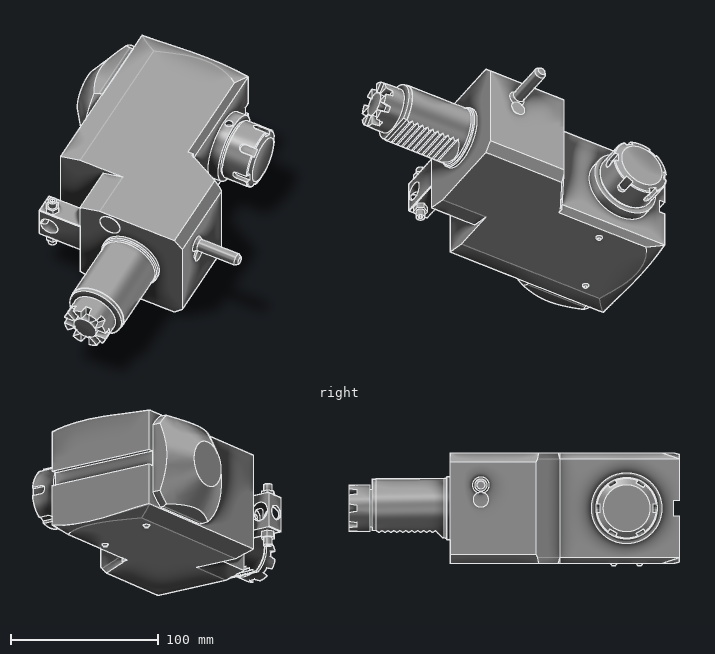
import cadquery as cq
import math


TOTAL_X = 166.5
TOTAL_Y = 224.0
TOTAL_Z = 76.5

BODY_HEIGHT = 75.0
HALF_HEIGHT = BODY_HEIGHT / 2
LEFT_X = -71.5
NOTCH_X = -39.0
NOTCH_Y = 34.3
LOWER_RIGHT_X = 39.0
UPPER_RIGHT_X = 9.5
SLOPE_START_Y = 58.2
SLOPE_END_Y = 74.4
REAR_Y = 155.5
SHALLOW_ANGLE = math.radians(15)
LEFT_BEVEL_WIDTH = 15.0
LEFT_BEVEL_DROP = LEFT_BEVEL_WIDTH * math.tan(SHALLOW_ANGLE)
LOWER_BEVEL = 6.0
UPPER_BEVEL_WIDTH = 4.3
SLOPE_BEVEL_WIDTH = 1.3
REAR_SLOT_HEIGHT = 10.3
REAR_SLOT_DEPTH = 4.0
CROWN_PEAK_X = -20.5
CROWN_PEAK_Z = 36.5
CROWN_EDGE_DROP = 3.1
CROWN_BEVEL_DROP = 2.2
CROWN_SHOULDER_DROP = 1.0
CROWN_LEFT_SHOULDER_X = -41.5
CROWN_RIGHT_SHOULDER_X = -3.8

SPINDLE_Y = 119.6
COVER_TIP_X = -94.5
COVER_RIM_X = -77.5
COVER_TIP_RADIUS = 15.7
COVER_RADIUS = 39.6
COVER_BACK_EDGE = 31.5
COVER_CORNER = 7.6
COVER_HALF_HEIGHT = 32.5
COVER_FLAT_LENGTH = 2.7

OUTPUT_FLANGE_RADIUS = 24.0
OUTPUT_FLANGE_LENGTH = 7.6
OUTPUT_NECK_RADIUS = 19.7
OUTPUT_NECK_LENGTH = 1.5
OUTPUT_NUT_RADIUS = 20.8
OUTPUT_NUT_LENGTH = LOWER_RIGHT_X - UPPER_RIGHT_X - OUTPUT_FLANGE_LENGTH - OUTPUT_NECK_LENGTH
OUTPUT_NUT_TIP_RADIUS = 16.0
OUTPUT_NUT_EDGE = 0.7
OUTPUT_NUT_TAPER = 1.5
OUTPUT_SLOT_COUNT = 6
OUTPUT_SLOT_WIDTH = 5.8
OUTPUT_SLOT_LENGTH = 12.3
OUTPUT_SLOT_DEPTH = 3.0
SPANNER_HOLE_RADIUS = 2.7
SPANNER_HOLE_DEPTH = 4.5

COLLAR_RADIUS = 21.5
COLLAR_LENGTH = 2.0
COLLAR_STEP_RADIUS = 20.5
COLLAR_STEP_END = 2.7
SHANK_RADIUS = 20.2
COLLAR_END = 4.0
SHANK_END = 50.2
SHANK_TIP_RADIUS = 19.7
SHANK_TIP_END = 52.9
SHANK_NECK_RADIUS = 12.8
NUT_START = 54.2
NUT_RADIUS = 16.0
NUT_END = TOTAL_Y - REAR_Y
NUT_CORE_RADIUS = 16.8 / 2
NUT_SLOT_COUNT = 8
NUT_SLOT_MOUTH = 5.8
NUT_SLOT_FLOOR = 4.0
NUT_SLOT_DEPTH = 5.4
RACK_VALLEY_Z = -15.2
RACK_TOOTH_HEIGHT = 1.3
RACK_PITCH = 4.0
RACK_TOOTH_COUNT = 10
RACK_START = 9.9
RACK_CUT_DEPTH = 6.7

BLOCK_LEFT_X = -70.8
BLOCK_FRONT_Y = 1.0
BLOCK_BACK_Y = 15.5
BLOCK_HALF_HEIGHT = 12.3
BLOCK_EDGE = 0.5
NOZZLE_X = -63.0
NOZZLE_RADIUS = 6.5
SIDE_HOLE_Y = 7.2
SIDE_HOLE_RADIUS = 5.0
SIDE_HOLE_DEPTH = 16.8
COOLANT_BORE_RADIUS = 1.5
SCREW_Y = 5.8
SCREW_RADIUS = 3.0
SCREW_TOP = 21.5
LOCKNUT_TOP = 16.4
LOCKNUT_DIAMETER = 9.6
SCREW_SEAT = 10.0
SOCKET_DIAMETER = 3.0
SOCKET_DEPTH = 2.2

PIN_Y = 20.8
PIN_Z = 15.7
PIN_RADIUS = 8.3 / 2
PIN_LENGTH = TOTAL_X + COVER_TIP_X - LOWER_RIGHT_X
PIN_TIP_LENGTH = 2.2
PIN_TIP_RADIUS = 2.7
PIN_COLLAR_RADIUS = 5.5
PIN_COLLAR_LENGTH = 2.5
RETAINER_Z = 5.8
RETAINER_RADIUS = 5.2
RETAINER_ROOT_RADIUS = 3.4
RETAINER_LENGTH = 1.8
PLUG_X = -16.1
PLUG_Z = 27.8
PLUG_RADIUS = 7.6
PLUG_HEIGHT = 0.2
STUD_POSITIONS = [(-49.7, 128.4), (-2.7, 110.9)]
STUD_RADIUS = 2.2
STUD_TIP_RADIUS = 1.1
STUD_HEIGHT = TOTAL_Z - BODY_HEIGHT

OVERLAP = 1.1
BEVEL_MARGIN = 4.5
FAR = 134.5


def revolve_x(profile, y, z):
    """Revolve (x, radius) points about the line parallel to X through (y, z)."""
    return (
        cq.Workplane("XY")
        .polyline(profile)
        .close()
        .revolve(360, (0, 0, 0), (1, 0, 0))
        .translate((0, y, z))
    )


def revolve_y(profile):
    """Revolve (radius, y) points about the Y axis."""
    return cq.Workplane("XY").polyline(profile).close().revolve(360, (0, 0, 0), (0, 1, 0))


def bevel_cutters(start, end, width, drop, overrun):
    """Prisms that bevel the top and bottom edges of a wall running counterclockwise in plan."""
    dx = end[0] - start[0]
    dy = end[1] - start[1]
    length = math.hypot(dx, dy)
    outward = cq.Vector(dy / length, -dx / length, 0)
    plane = cq.Plane(
        origin=(start[0], start[1], 0),
        xDir=outward.toTuple(),
        normal=(dx / length, dy / length, 0),
    )
    slope = drop / width
    upper = (
        cq.Workplane(plane)
        .polyline([
            (-width - BEVEL_MARGIN, -HALF_HEIGHT - BEVEL_MARGIN * slope),
            (BEVEL_MARGIN, -HALF_HEIGHT + drop + BEVEL_MARGIN * slope),
            (BEVEL_MARGIN, -FAR),
            (-width - BEVEL_MARGIN, -FAR),
        ])
        .close()
        .extrude(length + overrun)
    )
    return [upper, upper.mirror("XY")]


def crown_cutter():
    """Cutter leaving a humped slope that runs from the rear face up to the top face."""
    profile = [
        (LEFT_X, -CROWN_EDGE_DROP),
        (LEFT_X + LEFT_BEVEL_WIDTH, -CROWN_BEVEL_DROP),
        (CROWN_LEFT_SHOULDER_X, -CROWN_SHOULDER_DROP),
        (CROWN_PEAK_X, 0),
        (CROWN_RIGHT_SHOULDER_X, -CROWN_SHOULDER_DROP),
        (UPPER_RIGHT_X - UPPER_BEVEL_WIDTH, -CROWN_BEVEL_DROP),
        (UPPER_RIGHT_X, -CROWN_EDGE_DROP),
    ]
    plane = cq.Plane(
        origin=(0, REAR_Y, CROWN_PEAK_Z),
        xDir=(1, 0, 0),
        normal=(0, -math.cos(SHALLOW_ANGLE), math.sin(SHALLOW_ANGLE)),
    )
    points = [(x, height * math.cos(SHALLOW_ANGLE)) for x, height in profile]
    return (
        cq.Workplane(plane)
        .moveTo(*points[0])
        .spline(points[1:], includeCurrent=True)
        .lineTo(UPPER_RIGHT_X, FAR)
        .lineTo(LEFT_X, FAR)
        .close()
        .extrude(REAR_Y, both=True)
    )


def make_housing():
    """Stepped housing with bevelled edges, a humped rear and a slot across the rear face."""
    outline = [
        (NOTCH_X, 0),
        (LOWER_RIGHT_X, 0),
        (LOWER_RIGHT_X, SLOPE_START_Y),
        (UPPER_RIGHT_X, SLOPE_END_Y),
        (UPPER_RIGHT_X, REAR_Y),
        (LEFT_X, REAR_Y),
        (LEFT_X, NOTCH_Y),
        (NOTCH_X, NOTCH_Y),
    ]
    body = (
        cq.Workplane("XY", origin=(0, 0, -HALF_HEIGHT))
        .polyline(outline)
        .close()
        .extrude(BODY_HEIGHT)
    )
    bevels = [
        (1, 2, LOWER_BEVEL, LOWER_BEVEL, BEVEL_MARGIN),
        (2, 3, SLOPE_BEVEL_WIDTH, UPPER_BEVEL_WIDTH, 0),
        (3, 4, UPPER_BEVEL_WIDTH, UPPER_BEVEL_WIDTH, 0),
        (5, 6, LEFT_BEVEL_WIDTH, LEFT_BEVEL_DROP, 0),
        (7, 0, LEFT_BEVEL_WIDTH, LEFT_BEVEL_DROP, 0),
    ]
    for first, second, width, drop, overrun in bevels:
        for cutter in bevel_cutters(outline[first], outline[second], width, drop, overrun):
            body = body.cut(cutter)
    crown = crown_cutter()
    body = body.cut(crown).cut(crown.mirror("XY"))
    rear_slot = cq.Workplane("XY").box(2 * FAR, 2 * REAR_SLOT_DEPTH, REAR_SLOT_HEIGHT)
    return body.cut(rear_slot.translate((0, REAR_Y, 0)))


def make_cover():
    """Conical cover trimmed by a flat back edge, cut corners and tapering flats."""
    cone = revolve_x(
        [
            (COVER_TIP_X, 0),
            (COVER_TIP_X, COVER_TIP_RADIUS),
            (COVER_RIM_X, COVER_RADIUS),
            (LEFT_X + OVERLAP, COVER_RADIUS),
            (LEFT_X + OVERLAP, 0),
        ],
        SPINDLE_Y, 0,
    )
    back_y = SPINDLE_Y + COVER_BACK_EDGE
    trim = (
        cq.Workplane("XY")
        .box(FAR, FAR, 2 * COVER_HALF_HEIGHT)
        .edges("|X and >Y")
        .chamfer(COVER_CORNER)
        .translate((LEFT_X, back_y - FAR / 2, 0))
    )
    flat_x = LEFT_X - COVER_FLAT_LENGTH
    tip_half = COVER_HALF_HEIGHT - (flat_x - COVER_TIP_X) * math.tan(SHALLOW_ANGLE)
    taper = (
        cq.Workplane("XZ")
        .polyline([
            (COVER_TIP_X, tip_half),
            (flat_x, COVER_HALF_HEIGHT),
            (LEFT_X + OVERLAP, COVER_HALF_HEIGHT),
            (LEFT_X + OVERLAP, -COVER_HALF_HEIGHT),
            (flat_x, -COVER_HALF_HEIGHT),
            (COVER_TIP_X, -tip_half),
        ])
        .close()
        .extrude(FAR, both=True)
        .translate((0, SPINDLE_Y, 0))
    )
    return cone.intersect(trim).intersect(taper)


def make_output_spindle():
    """Flange and slotted clamping nut on the output side."""
    flange_x = UPPER_RIGHT_X + OUTPUT_FLANGE_LENGTH
    nut_x = flange_x + OUTPUT_NECK_LENGTH
    end_x = nut_x + OUTPUT_NUT_LENGTH
    spindle = revolve_x(
        [
            (UPPER_RIGHT_X - OVERLAP, 0),
            (UPPER_RIGHT_X - OVERLAP, OUTPUT_FLANGE_RADIUS),
            (flange_x, OUTPUT_FLANGE_RADIUS),
            (flange_x, OUTPUT_NECK_RADIUS),
            (nut_x, OUTPUT_NECK_RADIUS),
            (nut_x, OUTPUT_NUT_RADIUS),
            (end_x - OUTPUT_NUT_TAPER - OUTPUT_NUT_EDGE, OUTPUT_NUT_RADIUS),
            (end_x - OUTPUT_NUT_TAPER, OUTPUT_NUT_RADIUS - OUTPUT_NUT_EDGE),
            (end_x, OUTPUT_NUT_TIP_RADIUS),
            (end_x, 0),
        ],
        0, 0,
    )
    slot = (
        cq.Workplane("XY", origin=(end_x, 0, OUTPUT_NUT_RADIUS - OUTPUT_SLOT_DEPTH))
        .slot2D(2 * OUTPUT_SLOT_LENGTH, OUTPUT_SLOT_WIDTH)
        .extrude(2 * OUTPUT_SLOT_DEPTH)
    )
    step = 360 / OUTPUT_SLOT_COUNT
    for index in range(OUTPUT_SLOT_COUNT):
        spindle = spindle.cut(slot.rotate((0, 0, 0), (1, 0, 0), (index + 0.5) * step))
    spanner_hole = (
        cq.Workplane("XY", origin=(UPPER_RIGHT_X + OUTPUT_FLANGE_LENGTH / 2, 0, OUTPUT_FLANGE_RADIUS))
        .circle(SPANNER_HOLE_RADIUS)
        .extrude(-SPANNER_HOLE_DEPTH)
    )
    return spindle.cut(spanner_hole).translate((0, SPINDLE_Y, 0))


def rack_cutter():
    """Cutter that flattens the underside of the shank and leaves a row of teeth."""
    crest_z = RACK_VALLEY_Z - RACK_TOOTH_HEIGHT
    floor_z = RACK_VALLEY_Z - RACK_CUT_DEPTH
    points = [(RACK_CUT_DEPTH - RACK_START, floor_z), (-RACK_START, RACK_VALLEY_Z)]
    for index in range(RACK_TOOTH_COUNT):
        valley_y = -RACK_START - index * RACK_PITCH
        points.append((valley_y - RACK_PITCH / 2, crest_z))
        points.append((valley_y - RACK_PITCH, RACK_VALLEY_Z))
    points.append((-SHANK_TIP_END, RACK_VALLEY_Z))
    points.append((-SHANK_TIP_END, floor_z))
    return cq.Workplane("YZ").polyline(points).close().extrude(SHANK_RADIUS, both=True)


def make_shank():
    """Toothed shank; its collar is kept whole."""
    shank = revolve_y([
        (0, 0),
        (SHANK_RADIUS, 0),
        (SHANK_RADIUS, -SHANK_END),
        (SHANK_TIP_RADIUS, -SHANK_END),
        (SHANK_TIP_RADIUS, -SHANK_TIP_END),
        (0, -SHANK_TIP_END),
    ]).cut(rack_cutter())
    collar = revolve_y([
        (0, OVERLAP),
        (COLLAR_RADIUS, OVERLAP),
        (COLLAR_RADIUS, -COLLAR_LENGTH),
        (COLLAR_STEP_RADIUS, -COLLAR_STEP_END),
        (SHANK_RADIUS, -COLLAR_END),
        (0, -COLLAR_END),
    ])
    neck = revolve_y([
        (0, -SHANK_END),
        (SHANK_NECK_RADIUS, -SHANK_END),
        (SHANK_NECK_RADIUS, -NUT_START - OVERLAP),
        (0, -NUT_START - OVERLAP),
    ])
    return shank.union(collar).union(neck)


def make_shank_nut():
    """Nut at the tip of the shank with radial end slots around a solid core."""
    nut = cq.Workplane("XZ", origin=(0, -NUT_START, 0)).circle(NUT_RADIUS).extrude(NUT_END - NUT_START)
    slot = (
        cq.Workplane("XY")
        .polyline([
            (-NUT_SLOT_MOUTH / 2, -NUT_END),
            (NUT_SLOT_MOUTH / 2, -NUT_END),
            (NUT_SLOT_FLOOR / 2, NUT_SLOT_DEPTH - NUT_END),
            (-NUT_SLOT_FLOOR / 2, NUT_SLOT_DEPTH - NUT_END),
        ])
        .close()
        .extrude(2 * NUT_RADIUS)
    )
    for index in range(NUT_SLOT_COUNT):
        nut = nut.cut(slot.rotate((0, 0, 0), (0, 1, 0), index * 360 / NUT_SLOT_COUNT))
    core = cq.Workplane("XZ", origin=(0, -NUT_START, 0)).circle(NUT_CORE_RADIUS).extrude(NUT_END - NUT_START)
    return nut.union(core)


def make_clamp_screw():
    """Set screw with its hexagonal locknut, pointing up."""
    locknut = (
        cq.Workplane("XY", origin=(0, 0, SCREW_SEAT))
        .polygon(6, LOCKNUT_DIAMETER)
        .extrude(LOCKNUT_TOP - SCREW_SEAT)
    )
    screw = (
        cq.Workplane("XY", origin=(0, 0, SCREW_SEAT))
        .circle(SCREW_RADIUS)
        .extrude(SCREW_TOP - SCREW_SEAT)
        .faces(">Z")
        .workplane()
        .polygon(6, SOCKET_DIAMETER)
        .cutBlind(-SOCKET_DEPTH)
    )
    return locknut.union(screw).translate((NOZZLE_X, SCREW_Y, 0))


def make_coolant_block():
    """Block with a cross-drilled nozzle seat, clamped from above and below."""
    length = NOTCH_X + OVERLAP - BLOCK_LEFT_X
    block = (
        cq.Workplane("XY")
        .box(length, BLOCK_BACK_Y - BLOCK_FRONT_Y, 2 * BLOCK_HALF_HEIGHT, centered=(False, False, True))
        .translate((BLOCK_LEFT_X, BLOCK_FRONT_Y, 0))
    )
    block = block.faces("<X or <Y").edges("not (>X or >Y)").chamfer(BLOCK_EDGE)
    nozzle_seat = (
        cq.Workplane("XZ", origin=(NOZZLE_X, BLOCK_FRONT_Y, 0))
        .circle(NOZZLE_RADIUS)
        .extrude(-(BLOCK_BACK_Y - BLOCK_FRONT_Y))
    )
    side_hole = (
        cq.Workplane("YZ", origin=(BLOCK_LEFT_X, SIDE_HOLE_Y, 0))
        .circle(SIDE_HOLE_RADIUS)
        .extrude(SIDE_HOLE_DEPTH)
    )
    coolant_bore = (
        cq.Workplane("YZ", origin=(BLOCK_LEFT_X, SIDE_HOLE_Y, 0))
        .circle(COOLANT_BORE_RADIUS)
        .extrude(length)
    )
    screw = make_clamp_screw()
    return (
        block.cut(nozzle_seat)
        .cut(side_hole)
        .cut(coolant_bore)
        .union(screw)
        .union(screw.mirror("XY"))
    )


def make_locating_pin():
    """Chamfered pin on a tapered collar, with the retaining screw head beside it."""
    root_x = LOWER_RIGHT_X - OVERLAP
    collar_x = LOWER_RIGHT_X + PIN_COLLAR_LENGTH
    tip_x = LOWER_RIGHT_X + PIN_LENGTH
    pin = revolve_x(
        [
            (root_x, 0),
            (root_x, PIN_COLLAR_RADIUS),
            (LOWER_RIGHT_X, PIN_COLLAR_RADIUS),
            (collar_x, PIN_RADIUS),
            (tip_x - PIN_TIP_LENGTH, PIN_RADIUS),
            (tip_x, PIN_TIP_RADIUS),
            (tip_x, 0),
        ],
        PIN_Y, PIN_Z,
    )
    head_x = LOWER_RIGHT_X + RETAINER_LENGTH
    retainer = revolve_x(
        [
            (root_x, 0),
            (root_x, RETAINER_ROOT_RADIUS),
            (LOWER_RIGHT_X, RETAINER_ROOT_RADIUS),
            (head_x, RETAINER_RADIUS),
            (head_x, 0),
        ],
        PIN_Y, RETAINER_Z,
    )
    return pin.union(retainer)


def make_plug():
    """Slightly raised round plug on the mounting face."""
    return (
        cq.Workplane("XZ", origin=(PLUG_X, OVERLAP, PLUG_Z))
        .circle(PLUG_RADIUS)
        .extrude(OVERLAP + PLUG_HEIGHT)
    )


def make_stud(x, y):
    """Small tapered stud under the housing."""
    return (
        cq.Workplane("XY", origin=(x, y, -HALF_HEIGHT))
        .circle(STUD_RADIUS)
        .workplane(offset=-STUD_HEIGHT)
        .circle(STUD_TIP_RADIUS)
        .loft()
    )


result = (
    make_housing()
    .union(make_cover())
    .union(make_output_spindle())
    .union(make_shank())
    .union(make_shank_nut())
    .union(make_coolant_block())
    .union(make_locating_pin())
    .union(make_plug())
)
for stud_x, stud_y in STUD_POSITIONS:
    result = result.union(make_stud(stud_x, stud_y))